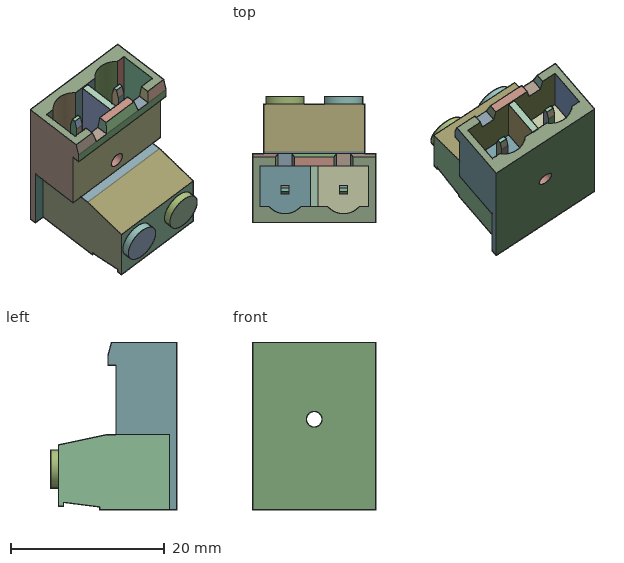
import cadquery as cq

housing_width = 15.98
housing_height = 21.75
housing_depth = 7.92
front_plate_thickness = 0.94

flange_depth = 8.95
flange_rim_depth = 8.5
flange_height = 3.0
flange_slope_height = 1.63

pole_pitch = 7.6
pole_positions = (-pole_pitch / 2, pole_pitch / 2)

side_wall = 0.93
socket_front = 2.08
socket_back = 7.34
socket_floor = 13.5
partition_thickness = 0.93
partition_drop = 0.2
recess_front = 1.16
recess_half_chord = 2.05

notch_top_width = 2.52
notch_bottom_width = 1.82
notch_depth = flange_slope_height

pin_width = 1.02
pin_depth = 1.12
pin_tip_depth = 0.48
pin_tip_height = 1.3
pin_y = 4.29
pin_top = 20.15

block_width = 13.12
block_back = 15.4
block_top = 9.75
block_top_slope_start = 9.18
block_back_top = 8.43
block_lip_bottom = 0.44
block_lip_front = 14.7
block_relief_top = 0.94
block_relief_front = 10.03
block_relief_front_height = 0.35

screw_diameter = 5.0
screw_length = 1.0
screw_z = 5.28

hole_diameter = 2.0
hole_z = 11.75


def extrude_across(points, width):
    """Solid of a (Y, Z) outline, centred on X."""
    return cq.Workplane("YZ").polyline(points).close().extrude(width / 2, both=True)


def box(width, y_start, y_end, z_start, z_end):
    """Box centred on X between the given Y and Z limits."""
    outline = [(y_start, z_start), (y_end, z_start), (y_end, z_end), (y_start, z_end)]
    return extrude_across(outline, width)


def make_housing():
    """Tall upper housing with its back flange, on a thin full-height front plate."""
    flange_bottom = housing_height - flange_height
    outline = [
        (0, 0),
        (front_plate_thickness, 0),
        (front_plate_thickness, block_top),
        (housing_depth, block_top),
        (housing_depth, flange_bottom),
        (flange_depth, flange_bottom),
        (flange_depth, housing_height - flange_slope_height),
        (flange_rim_depth, housing_height),
        (0, housing_height),
    ]
    return extrude_across(outline, housing_width)


def make_terminal_block():
    """Narrower block with a sloping top and a relieved underside behind it."""
    outline = [
        (front_plate_thickness, 0),
        (block_relief_front, 0),
        (block_relief_front, block_relief_front_height),
        (block_lip_front, block_relief_top),
        (block_lip_front, block_lip_bottom),
        (block_back, block_lip_bottom),
        (block_back, block_back_top),
        (block_top_slope_start, block_top),
        (front_plate_thickness, block_top),
    ]
    return extrude_across(outline, block_width)


def make_screw_head(x):
    """Round head standing out from the back of the terminal block."""
    back_face = cq.Workplane("XZ", origin=(x, block_back, screw_z))
    return back_face.circle(screw_diameter / 2).extrude(-screw_length)


def make_socket_cut():
    """Rectangular socket with a rounded recess in front of each pin, around the partition."""
    cut = box(housing_width - 2 * side_wall, socket_front, socket_back, socket_floor, housing_height)
    depth = housing_height - socket_floor
    for x in pole_positions:
        recess = (
            cq.Workplane("XY", origin=(x, 0, socket_floor))
            .moveTo(-recess_half_chord, socket_front)
            .threePointArc((0, recess_front), (recess_half_chord, socket_front))
            .close()
            .extrude(depth)
        )
        cut = cut.union(recess)
    partition_top = housing_height - partition_drop
    partition = box(partition_thickness, socket_front, socket_back, socket_floor, partition_top)
    return cut.cut(partition)


def make_notch_cut(x):
    """Tapered notch through the back rim."""
    notch_bottom = housing_height - notch_depth
    return (
        cq.Workplane("XZ", origin=(x, socket_back, 0))
        .moveTo(-notch_bottom_width / 2, notch_bottom)
        .lineTo(notch_bottom_width / 2, notch_bottom)
        .lineTo(notch_top_width / 2, housing_height)
        .lineTo(-notch_top_width / 2, housing_height)
        .close()
        .extrude(socket_back - flange_depth)
    )


def make_pin(x):
    """Contact pin with its tip bevelled at front and back."""
    shoulder = pin_top - pin_tip_height
    outline = [
        (pin_y - pin_depth / 2, socket_floor),
        (pin_y + pin_depth / 2, socket_floor),
        (pin_y + pin_depth / 2, shoulder),
        (pin_y + pin_tip_depth / 2, pin_top),
        (pin_y - pin_tip_depth / 2, pin_top),
        (pin_y - pin_depth / 2, shoulder),
    ]
    return extrude_across(outline, pin_width).translate((x, 0, 0))


def make_cross_hole():
    """Cylinder that runs through the housing below the socket floor."""
    front_face = cq.Workplane("XZ", origin=(0, 0, hole_z))
    return front_face.circle(hole_diameter / 2).extrude(-housing_depth)


result = make_housing().union(make_terminal_block())
result = result.cut(make_socket_cut()).cut(make_cross_hole())
for pole_x in pole_positions:
    result = result.cut(make_notch_cut(pole_x))
    result = result.union(make_pin(pole_x))
    result = result.union(make_screw_head(pole_x))